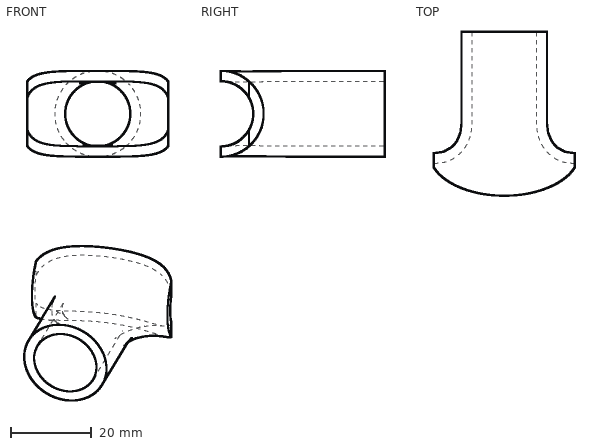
import cadquery as cq
import math

outer_radius = 10.65
bore_radius = 8.05
tube_end = 40.65
throat = 17.65
saddle_width = 35.0
outline_half_length = 18.58
blend_half_length = 17.05
blend_gap = 0.4
overhang = 0.9
skirt_end = -4.05
handle_ratio = 0.4

fit_tolerance = 0.002
sew_tolerance = 0.05
angle_step = 0.001
loop_steps = 96
blend_steps = 12
strip_steps = 4


def throat_point(radius, angle):
    """Point of the circle where the tube meets the flare."""
    return cq.Vector(radius * math.cos(angle), throat, radius * math.sin(angle))


def saddle_point(radius, half_length, depth, angle):
    """Point of an ellipse, as seen along Z, wrapped on the run pipe of this radius."""
    turn = math.pi / 2 * math.cos(angle)
    x = half_length * math.sin(turn)
    y = radius - depth * math.cos(turn)
    z = math.copysign(math.sqrt(max(radius**2 - y**2, 0)), math.sin(angle))
    return cq.Vector(x, y, z)


def rim_point(radius, angle):
    """Point where the flare runs out on the run pipe."""
    return saddle_point(radius, blend_half_length, radius - blend_gap, angle)


def skirt_point(radius, angle):
    """Point of the run pipe just past the saddle outline."""
    return saddle_point(radius, outline_half_length + overhang, radius + overhang, angle)


def rim_direction(radius, angle):
    """Direction on the run pipe that leaves the rim square to it, away from the tube."""
    rim = rim_point(radius, angle)
    along = rim_point(radius, angle + angle_step) - rim_point(radius, angle - angle_step)
    normal = cq.Vector(0, rim.y, rim.z)
    return normal.cross(along).normalized()


def blend_point(radius, angle, t):
    """Cubic Bezier from the throat circle, along the tube, to the rim, along the run pipe."""
    start = throat_point(radius, angle)
    end = rim_point(radius, angle)
    handle = handle_ratio * (end - start).Length
    start_handle = start - cq.Vector(0, handle, 0)
    end_handle = end - rim_direction(radius, angle) * handle
    s = 1 - t
    return start * s**3 + start_handle * (3 * s * s * t) + end_handle * (3 * s * t * t) + end * t**3


def strip_point(radius, angle, t):
    """Point on the run pipe between the rim and the edge of the skirt."""
    rim = rim_point(radius, angle)
    edge = skirt_point(radius, angle)
    rim_turn = math.atan2(rim.z, rim.y)
    turn = rim_turn + (math.atan2(edge.z, edge.y) - rim_turn) * t
    return cq.Vector(rim.x + (edge.x - rim.x) * t, radius * math.cos(turn), radius * math.sin(turn))


def skirt_wall_point(radius, angle, t):
    """Point of the wall that runs along -Y from the skirt edge."""
    edge = skirt_point(radius, angle)
    return cq.Vector(edge.x, edge.y + (skirt_end - edge.y) * t, edge.z)


def surface(point_function, radius, steps, start_angle):
    """Full turn of a surface around the tube axis, with its seam at the start angle."""
    angles = [start_angle + 2 * math.pi * i / loop_steps for i in range(loop_steps + 1)]
    grid = [[point_function(radius, angle, j / steps) for j in range(steps + 1)] for angle in angles]
    return cq.Face.makeSplineApprox(grid, tol=fit_tolerance, minDeg=3, maxDeg=6)


def tube_wall(radius, seam_angle):
    """Cylindrical wall of the straight tube, with its seam in line with the flare surfaces."""
    rod = cq.Workplane("XZ", origin=(0, throat, 0)).circle(radius).extrude(throat - tube_end)
    return rod.rotate((0, 0, 0), (0, 1, 0), -math.degrees(seam_angle)).faces("%CYLINDER").val()


def cap(face, y):
    """Flat face that closes the open end of a ring-shaped face at this Y."""
    rims = [edge for edge in face.Edges() if abs(edge.Center().y - y) < fit_tolerance]
    return cq.Face.makeFromWires(cq.Wire.assembleEdges(rims))


def trumpet(radius, seam_angle):
    """Solid bounded by the tube, the blend, the strip of run pipe beyond it and a plain skirt."""
    tube = tube_wall(radius, seam_angle)
    blend = surface(blend_point, radius, blend_steps, seam_angle)
    strip = surface(strip_point, radius, strip_steps, seam_angle)
    skirt = surface(skirt_wall_point, radius, strip_steps, seam_angle)
    faces = [cap(tube, tube_end), tube, blend, strip, skirt, cap(skirt, skirt_end)]
    return cq.Workplane(obj=cq.Solid.makeSolid(cq.occ_impl.shapes.shell(faces, tol=sew_tolerance)))


def saddle_outline():
    """Prism along Z: an ellipse below the crown of the run pipe, with flat ends in X."""
    height = 4 * outer_radius
    oval = (
        cq.Workplane("XY", origin=(0, outer_radius, -height / 2))
        .ellipse(outline_half_length, outer_radius)
        .extrude(height)
    )
    above = (
        cq.Workplane("XY", origin=(0, outer_radius, 0))
        .box(2 * outline_half_length, tube_end, height, centered=(True, False, True))
    )
    flat_ends = cq.Workplane("XY").box(saddle_width, 4 * tube_end, height)
    return oval.union(above).intersect(flat_ends)


outside = trumpet(outer_radius, -math.pi / 2).intersect(saddle_outline())
bore = trumpet(bore_radius, math.pi / 2)
result = cq.Workplane(obj=outside.cut(bore).solids().val())